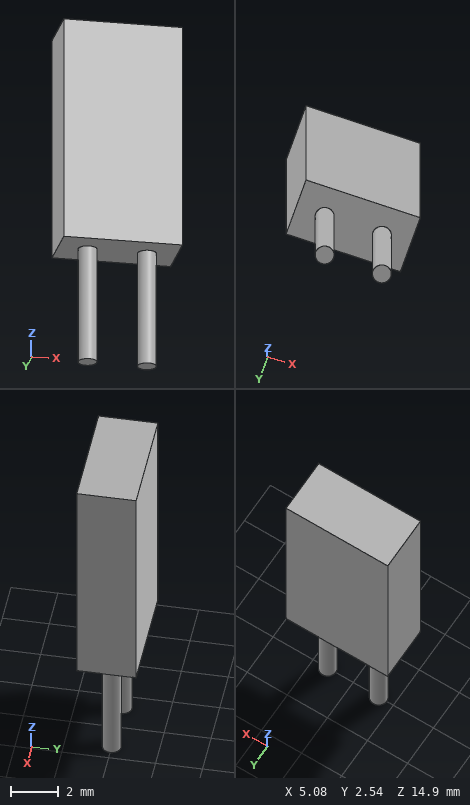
import cadquery as cq

pitch = 2.54
body_width = 2 * pitch
body_depth = pitch
total_height = 14.89
pin_length = 2 * pitch
pin_diameter = 0.8
body_height = total_height - pin_length


def make_body():
    """Rectangular block standing on the XY plane."""
    return cq.Workplane("XY").box(body_width, body_depth, body_height, centered=(True, True, False))


def make_pin(x):
    """Round lead hanging from the underside of the body."""
    return cq.Workplane("XY").center(x, 0).circle(pin_diameter / 2).extrude(-pin_length)


body = make_body()
pins = [make_pin(side * pitch / 2) for side in (-1, 1)]

result = cq.Compound.makeCompound([body.val(), *[pin.val() for pin in pins]])